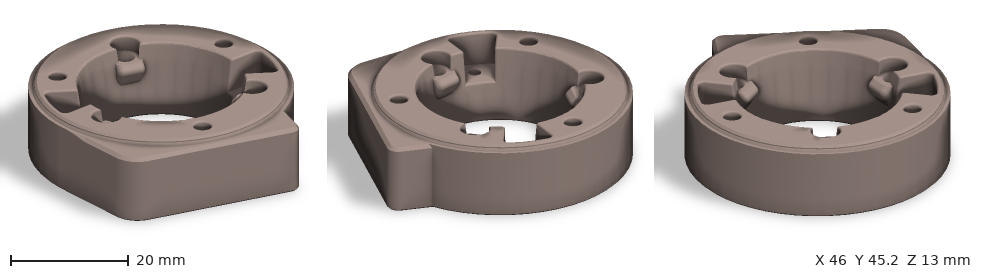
import cadquery as cq
import math

height = 13.0
shoulder_z = 12.0
ring_radius = 22.625
bottom_chamfer = 0.3
edge_break = 0.4

rim_radius = 21.55

bore_bottom_radius = 12.63
bore_top_radius = 14.45

lug_x = 23.385
lug_top_y = 16.1
lug_top_corner_radius = 2.0
lug_lower_corner_radius = 5.0
lug_lower_corner_y = -12.3
lug_slope_angle = math.radians(20)
lug_slope_start_angle = math.radians(-73.8)
lug_chamfer = 0.6

pin_hole_diameter = 3.0
pin_hole_depth = 2.0
pin_circle_radius = 17.75
pin_angles = (0, 120, 240)

seat_angles = (60, 180, 300)
seat_circle_radius = 15.6
seat_diameter = 5.0
seat_floor_z = 10.25
ball_radius = 2.5
dimple_diameter = 3.6

nose_tip_radius = 11.9
nose_top_radius = 12.8
nose_tip_rounding = 0.86
nose_bevel_angle = math.radians(45)
nose_undercut_angle = math.radians(30)
nose_root_z = 5.4
nose_corner_radius = 1.0

pocket_angles = (90, 270)
pocket_floor_z = 7.0
pocket_outer_radius = 20.35
pocket_inner_radius = 11.0
pocket_half_angle = math.radians(17.5)
pocket_reference_radius = 14.3
pocket_reference_half_width = 2.7
pocket_corner_radius = 1.0
screw_hole_diameter = 2.2
screw_circle_radius = 17.5


def polar(radius, angle):
    return (radius * math.cos(angle), radius * math.sin(angle))


def base_outline():
    """Ring circle joined to the lug: sloped side, large corner, flat, small corner, straight top."""
    slope_start = polar(ring_radius, lug_slope_start_angle)
    corner_center_x = lug_x - lug_lower_corner_radius
    slope_normal = lug_slope_angle - math.pi / 2

    def lower_corner_point(angle):
        dx, dy = polar(lug_lower_corner_radius, angle)
        return (corner_center_x + dx, lug_lower_corner_y + dy)

    top_start = (math.sqrt(ring_radius**2 - lug_top_y**2), lug_top_y)
    corner_offset = lug_top_corner_radius * (1 - math.sqrt(0.5))
    return (
        cq.Workplane("XY")
        .moveTo(*slope_start)
        .lineTo(*lower_corner_point(slope_normal))
        .threePointArc(lower_corner_point(slope_normal / 2), (lug_x, lug_lower_corner_y))
        .lineTo(lug_x, lug_top_y - lug_top_corner_radius)
        .threePointArc(
            (lug_x - corner_offset, lug_top_y - corner_offset),
            (lug_x - lug_top_corner_radius, lug_top_y),
        )
        .lineTo(*top_start)
        .threePointArc((-ring_radius, 0), slope_start)
        .close()
    )


def make_base():
    """Ring and lug; the lug's top chamfer fades out where the sloped side runs into the ring."""
    prism = base_outline().extrude(shoulder_z).faces("<Z").chamfer(bottom_chamfer)
    chamfered = prism.faces(">Z").chamfer(lug_chamfer)
    ring = cq.Workplane("XY").circle(ring_radius).extrude(shoulder_z)
    flare = (
        cq.Workplane("XY", origin=(0, 0, shoulder_z))
        .circle(ring_radius)
        .workplane(offset=-lug_chamfer)
        .circle(ring_radius + lug_chamfer)
        .loft(ruled=True)
    )
    lower_half = (
        cq.Workplane("XY")
        .box(4 * ring_radius, 2 * ring_radius, 2 * height)
        .translate((0, -ring_radius, 0))
    )
    ring = ring.union(flare.intersect(lower_half))
    return chamfered.union(prism.intersect(ring))


def make_rim():
    """Raised rim with a sloped foot and a chamfered top edge."""
    return (
        cq.Workplane("XZ")
        .moveTo(0, shoulder_z)
        .lineTo(rim_radius + edge_break, shoulder_z)
        .lineTo(rim_radius, shoulder_z + edge_break)
        .lineTo(rim_radius, height - edge_break)
        .lineTo(rim_radius - edge_break, height)
        .lineTo(0, height)
        .close()
        .revolve(360, (0, 0, 0), (0, 1, 0))
    )


def make_bore():
    return (
        cq.Workplane("XY")
        .circle(bore_bottom_radius)
        .workplane(offset=height)
        .circle(bore_top_radius)
        .loft(ruled=True)
    )


def make_pocket(angle):
    """Wedge with an outer wall concentric with the ring and rounded outer corners."""
    def half_width(radius):
        widening = (radius - pocket_reference_radius) * math.tan(pocket_half_angle)
        return pocket_reference_half_width + widening

    inner_half = half_width(pocket_inner_radius)
    outer_half = half_width(pocket_outer_radius)
    wedge = (
        cq.Workplane("XY", origin=(0, 0, pocket_floor_z))
        .polyline([
            (pocket_inner_radius, -inner_half),
            (pocket_outer_radius, -outer_half),
            (pocket_outer_radius, outer_half),
            (pocket_inner_radius, inner_half),
        ])
        .close()
        .extrude(height - pocket_floor_z)
    )
    limit = cq.Workplane("XY").circle(pocket_outer_radius).extrude(height)
    wedge = wedge.intersect(limit).edges("|Z").edges(">X").fillet(pocket_corner_radius)
    return wedge.rotate((0, 0, 0), (0, 0, 1), angle)


def drill(body, diameter, circle_radius, angles, floor_z):
    """Cut round holes on a circle, from the top down to floor_z."""
    for angle in angles:
        x, y = polar(circle_radius, math.radians(angle))
        hole = (
            cq.Workplane("XY", origin=(x, y, floor_z))
            .circle(diameter / 2)
            .extrude(height - floor_z)
        )
        body = body.cut(hole)
    return body


def round_openings(body):
    """Round the edges of the bore, the holes and the pockets, including the pocket mouths in the bore."""
    edges = []
    for end_face in (body.faces(">Z").val(), body.faces("<Z").val()):
        for wire in end_face.innerWires():
            edges += wire.Edges()
    for side in (1, -1):
        mouth = cq.selectors.BoxSelector(
            (-pocket_reference_half_width, side * bore_bottom_radius, pocket_floor_z - edge_break),
            (pocket_reference_half_width, side * bore_top_radius, height - edge_break),
        )
        edges += body.edges(mouth).vals()
    return body.newObject(edges).fillet(edge_break)


def make_nose(angle):
    """Nose reaching into the bore: bevelled top, round tip, underside sloping back to the bore."""
    tip_center_x = nose_tip_radius + nose_tip_rounding
    bevel_dx, tip_rise = polar(nose_tip_rounding, nose_bevel_angle)
    bevel_end_x = tip_center_x - bevel_dx
    bevel_end_z = seat_floor_z - (nose_top_radius - bevel_end_x) * math.tan(nose_bevel_angle)
    tip_center_z = bevel_end_z - tip_rise
    under_dx, under_drop = polar(nose_tip_rounding, nose_undercut_angle)
    under_x = tip_center_x - under_dx
    under_z = tip_center_z - under_drop
    root_x = under_x + (under_z - nose_root_z) * math.tan(nose_undercut_angle)
    nose = (
        cq.Workplane("XZ", origin=(0, seat_diameter / 2, 0))
        .moveTo(seat_circle_radius, seat_floor_z)
        .lineTo(nose_top_radius, seat_floor_z)
        .lineTo(bevel_end_x, bevel_end_z)
        .threePointArc((nose_tip_radius, tip_center_z), (under_x, under_z))
        .lineTo(root_x, nose_root_z)
        .lineTo(seat_circle_radius, nose_root_z)
        .close()
        .extrude(seat_diameter)
    )
    margin = 0.1
    front = cq.selectors.BoxSelector(
        (nose_tip_radius - margin, -seat_diameter, nose_root_z + margin),
        (root_x, seat_diameter, seat_floor_z - margin),
    )
    nose = nose.faces("|Y").edges(front).fillet(nose_corner_radius)
    return nose.rotate((0, 0, 0), (0, 0, 1), angle)


def make_dimple(angle):
    x, y = polar(seat_circle_radius, math.radians(angle))
    rise = math.sqrt(ball_radius**2 - (dimple_diameter / 2) ** 2)
    return cq.Workplane("XY").sphere(ball_radius).translate((x, y, seat_floor_z + rise))


body = make_base().union(make_rim()).cut(make_bore())
for pocket_angle in pocket_angles:
    body = body.cut(make_pocket(pocket_angle))
body = drill(body, seat_diameter, seat_circle_radius, seat_angles, seat_floor_z)
body = drill(body, pin_hole_diameter, pin_circle_radius, pin_angles, height - pin_hole_depth)
body = round_openings(body)
for seat_angle in seat_angles:
    body = body.union(make_nose(seat_angle)).cut(make_dimple(seat_angle))
body = drill(body, screw_hole_diameter, screw_circle_radius, pocket_angles, 0)

result = body